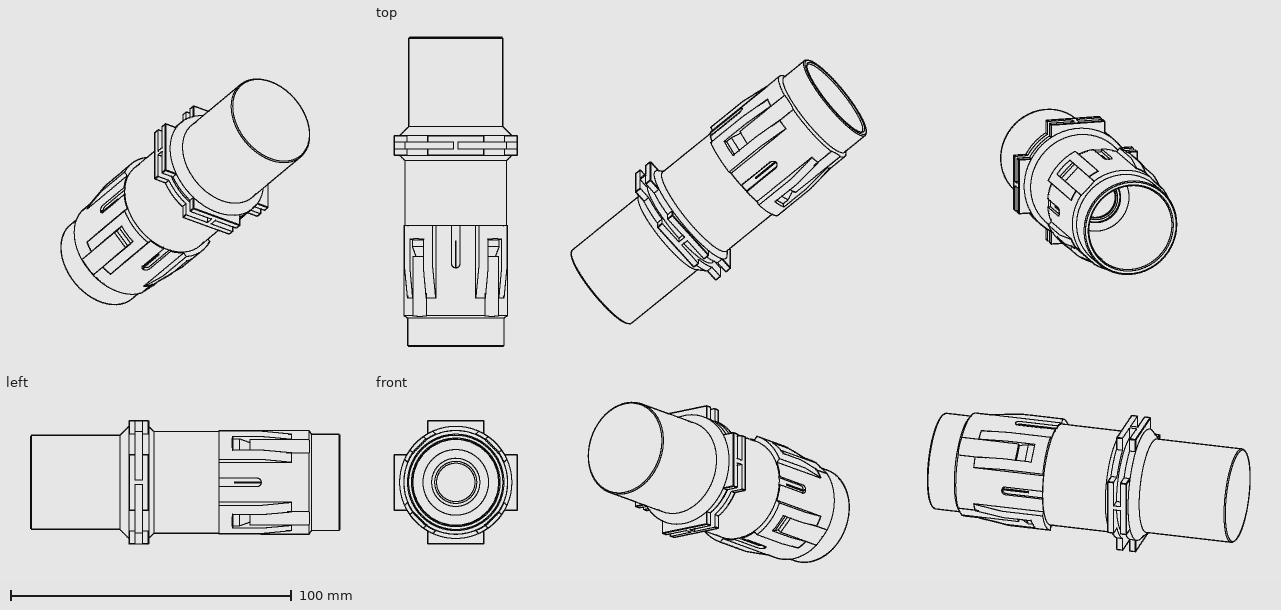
import cadquery as cq


total_length = 110.2
sleeve_front = 10.1
sleeve_chamfer = 0.9
sleeve_end = 43.1
flange_front = 68.1
flange_width = 7.1
flange_rear = flange_front + flange_width

nose_radius = 17.2
sleeve_radius = 18.5
tube_radius = 18.15
flange_radius = 20.0
tail_radius = 16.8
rim_chamfer = 0.4
tail_chamfer = 0.4

bore_mouth = (15.8, 0.0)
bore_lead_in = (15.4, 0.5)
bore_shoulder = (15.3, 10.4)
bore_taper = (14.8, 12.7)
bore_seat = (13.5, 30.0)
bore_floor = (11.7, sleeve_end)

floor_groove_outer_radius = 8.6
floor_groove_inner_radius = 7.5
floor_recess_radius = 6.85
floor_cut_depth = 1.0

lug_reach = 22.0
lug_width = 20.0
lug_chamfer = 0.2
flange_groove_width = 2.6
flange_groove_floor_radius = 18.1
lug_web_thickness = 1.6

pad_radius = 20.0
pad_half_width = 7.1
pad_root_radius = 17.15
pad_front = 17.3
pad_front_radius = 18.65
pad_slope_end = 28.0
latch_slot_width = 6.8
latch_floor = 18.1
pocket_front = 32.0
pocket_bottom = 16.6
pocket_rear = 35.7
latch_shelf = 18.5
latch_slot_rear = 38.0
latch_slot_rear_top = 38.4

grip_groove_width = 3.0
grip_groove_front = 28.0
grip_groove_floor = 17.4
grip_slit_width = 0.3
grip_slit_rear = 37.6
grip_slit_floor = 17.0

side_angles = [0, 90, 180, 270]
diagonal_angles = [45, 135, 225, 315]
cut_reach = 25.0


def turned(points):
    """Solid of revolution about the Y axis from (radius, y) points."""
    return cq.Workplane("XY").polyline(points).close().revolve(360, (0, 0, 0), (0, 1, 0))


def turned_ring(inner_radius, outer_radius, y_start, y_end):
    return turned(
        [(inner_radius, y_start), (outer_radius, y_start), (outer_radius, y_end), (inner_radius, y_end)]
    )


def block(x_min, x_max, y_min, y_max, width):
    """Box centred on z = 0."""
    return cq.Workplane("XY").box(
        x_max - x_min, y_max - y_min, width, centered=(False, False, True)
    ).translate((x_min, y_min, 0))


def around_axis(shape, angle):
    return shape.rotate((0, 0, 0), (0, 1, 0), angle)


def shell_outside():
    front_cone = flange_radius - tube_radius
    rear_cone = flange_radius - tail_radius
    return turned([
        (0, 0),
        (nose_radius - rim_chamfer, 0),
        (nose_radius, rim_chamfer),
        (nose_radius, sleeve_front),
        (sleeve_radius, sleeve_front + sleeve_chamfer),
        (sleeve_radius, sleeve_end),
        (tube_radius, sleeve_end),
        (tube_radius, flange_front - front_cone),
        (flange_radius, flange_front),
        (flange_radius, flange_rear),
        (tail_radius, flange_rear + rear_cone),
        (tail_radius, total_length - tail_chamfer),
        (tail_radius - tail_chamfer, total_length),
        (0, total_length),
    ])


def bore():
    floor_depth = bore_floor[1]
    cavity = turned([
        (0, 0),
        bore_mouth,
        bore_lead_in,
        bore_shoulder,
        bore_taper,
        bore_seat,
        bore_floor,
        (0, floor_depth),
    ])
    cut_end = floor_depth + floor_cut_depth
    groove = turned_ring(floor_groove_inner_radius, floor_groove_outer_radius, floor_depth, cut_end)
    recess = turned_ring(0, floor_recess_radius, floor_depth, cut_end)
    return cavity.union(groove).union(recess)


def flange_lugs():
    """Crossed rectangular plates standing out from the flange on the four sides."""
    plate = block(-lug_reach, lug_reach, flange_front, flange_rear, lug_width)
    plate = plate.edges().chamfer(lug_chamfer)
    return plate.union(around_axis(plate, 90))


def flange_groove():
    """Groove around the middle of the flange, interrupted by a web on each lug."""
    groove_front = flange_front + (flange_width - flange_groove_width) / 2
    groove_rear = groove_front + flange_groove_width
    groove = turned_ring(flange_groove_floor_radius, cut_reach, groove_front, groove_rear)
    web = block(-cut_reach, cut_reach, groove_front, groove_rear, lug_web_thickness)
    return groove.cut(web).cut(around_axis(web, 90))


def latch_pad():
    """Raised pad toward +X, sloping down to the sleeve at its front."""
    ring = turned([
        (pad_root_radius, pad_front),
        (pad_front_radius, pad_front),
        (pad_radius, pad_slope_end),
        (pad_radius, sleeve_end),
        (pad_root_radius, sleeve_end),
    ])
    return ring.intersect(block(0, cut_reach, pad_front, sleeve_end, 2 * pad_half_width))


def latch_slot():
    """Slot along the middle of a pad with a pocket ramping up to a shelf at its rear end."""
    rear_lean = (latch_slot_rear_top - latch_slot_rear) / (pad_radius - latch_shelf)
    rear_at_reach = latch_slot_rear + rear_lean * (cut_reach - latch_shelf)
    profile = [
        (latch_floor, sleeve_front),
        (latch_floor, pocket_front),
        (pocket_bottom, pocket_front),
        (latch_shelf, pocket_rear),
        (latch_shelf, latch_slot_rear),
        (cut_reach, rear_at_reach),
        (cut_reach, sleeve_front),
    ]
    return cq.Workplane("XY").polyline(profile).close().extrude(latch_slot_width / 2, both=True)


def grip_groove():
    """Round-ended groove toward +X, open at the sleeve's rear, with a narrow slit in its floor."""
    end_radius = grip_groove_width / 2
    end_centre = grip_groove_front + end_radius
    straight = block(grip_groove_floor, cut_reach, end_centre, sleeve_end, grip_groove_width)
    round_end = (
        cq.Workplane("YZ", origin=(grip_groove_floor, 0, 0))
        .center(end_centre, 0)
        .circle(end_radius)
        .extrude(cut_reach - grip_groove_floor)
    )
    slit = block(grip_slit_floor, cut_reach, grip_groove_front, grip_slit_rear, grip_slit_width)
    return straight.union(round_end).union(slit)


shell = shell_outside().union(flange_lugs()).cut(flange_groove())
for angle in diagonal_angles:
    shell = shell.union(around_axis(latch_pad(), angle))
for angle in diagonal_angles:
    shell = shell.cut(around_axis(latch_slot(), angle))
for angle in side_angles:
    shell = shell.cut(around_axis(grip_groove(), angle))

result = shell.cut(bore())